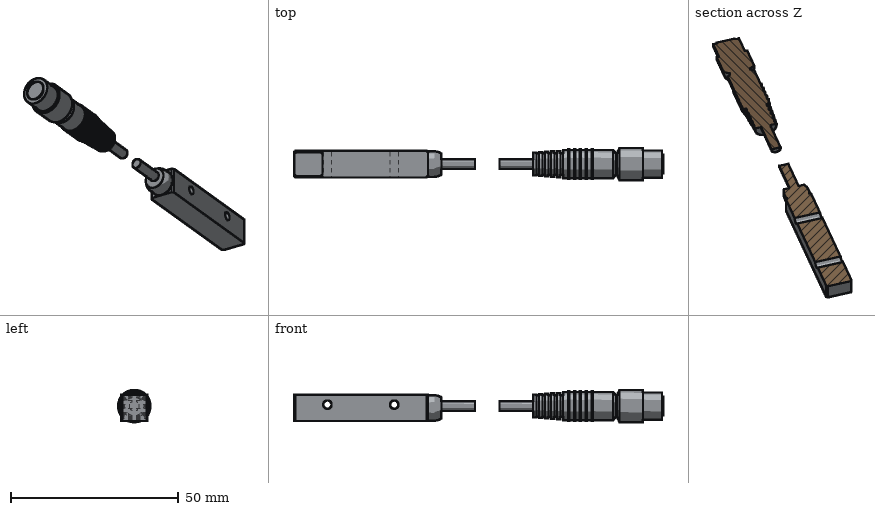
import cadquery as cq


total_length = 110.5

cable_diameter = 3.0
cable_length = 10.1

housing_length = 40.1
housing_width = 8.1
housing_height = 8.0
housing_center_z = -0.5
front_chamfer = 0.4
back_chamfer = 0.5

hole_diameter = 2.4
hole_pitch = 20.0
first_hole_x = 10.0
hole_z = 0.4

window_length = 8.5
window_width = 7.1
window_depth = 0.1
window_corner_radius = 0.8

sleeve_diameter = 7.7
sleeve_end_diameter = 6.3
sleeve_straight_length = 2.0
sleeve_length = 4.0
sleeve_bulge = 0.17

connector_length = 49.1
relief_ring_diameters = [7.0, 7.2, 7.5, 7.7, 8.0]
relief_ring_width = 1.0
relief_groove_width = 0.81
relief_pitch = relief_ring_width + relief_groove_width
relief_core_diameter = 6.5

grip_length = 14.9
grip_diameter = 8.5
grip_ring_diameter = 9.0
grip_ring_count = 5
grip_ring_width = 0.4
grip_ring_pitch = 1.8
first_grip_ring_offset = 1.4

neck_diameter = 6.5
neck_length = 0.3
grip_taper_length = 0.9
nut_taper_length = 0.8
nut_diameter = 9.7
nut_end_x = 104.4
plug_diameter = 8.3
insert_diameter = 5.7
insert_projection = 0.3


def cylinder(start_x, length, diameter, center_z=0):
    """Round bar along X."""
    return (
        cq.Workplane("YZ", origin=(start_x, 0, center_z))
        .circle(diameter / 2)
        .extrude(length)
    )


def make_housing_block():
    block = cq.Workplane("XY").box(housing_length, housing_width, housing_height)
    block = block.translate((housing_length / 2, 0, housing_center_z))
    block = block.edges("|Z and <X").chamfer(front_chamfer)
    return block.edges("|Z and >X").chamfer(back_chamfer)


def make_window():
    """Tool for the shallow rounded recess that reaches the sensing face."""
    top_z = housing_center_z + housing_height / 2
    return (
        cq.Workplane("XY", origin=(window_length / 2, 0, top_z - window_depth))
        .rect(window_length, window_width)
        .extrude(window_depth)
        .edges("|Z")
        .fillet(window_corner_radius)
    )


def make_mounting_holes():
    return (
        cq.Workplane("XZ", origin=(first_hole_x + hole_pitch / 2, 0, hole_z))
        .rarray(hole_pitch, 1.1, 2, 1)
        .circle(hole_diameter / 2)
        .extrude(housing_width, both=True)
    )


def make_sleeve():
    """Round collar whose free end curves inward."""
    straight_end = housing_length + sleeve_straight_length
    end = housing_length + sleeve_length
    outer = sleeve_diameter / 2
    inner = sleeve_end_diameter / 2
    middle = ((straight_end + end) / 2, (outer + inner) / 2 + sleeve_bulge)
    return (
        cq.Workplane("XY")
        .moveTo(housing_length, 0)
        .lineTo(housing_length, outer)
        .lineTo(straight_end, outer)
        .threePointArc(middle, (end, inner))
        .lineTo(end, 0)
        .close()
        .revolve(360, (0, 0, 0), (1, 0, 0))
        .translate((0, 0, housing_center_z))
    )


def make_sensor():
    cable_start = housing_length + sleeve_length
    sensor = make_housing_block().cut(make_window()).cut(make_mounting_holes())
    return sensor.union(make_sleeve()).union(cylinder(cable_start, cable_length, cable_diameter))


def make_relief(start_x):
    """Ribbed strain relief that widens toward the grip."""
    relief_length = relief_pitch * len(relief_ring_diameters)
    relief = cylinder(start_x, relief_length, relief_core_diameter)
    for index, diameter in enumerate(relief_ring_diameters):
        relief = relief.union(cylinder(start_x + index * relief_pitch, relief_ring_width, diameter))
    return relief


def make_grip(start_x):
    grip = cylinder(start_x, grip_length, grip_diameter)
    for index in range(grip_ring_count):
        ring_x = start_x + first_grip_ring_offset + index * grip_ring_pitch
        grip = grip.union(cylinder(ring_x, grip_ring_width, grip_ring_diameter))
    return grip


def make_plug_end(grip_end):
    """Tapered neck, coupling nut, plug barrel and contact insert."""
    neck_start = grip_end + grip_taper_length
    neck_end = neck_start + neck_length
    nut_start = neck_end + nut_taper_length
    plug_end = total_length - insert_projection
    profile = [
        (grip_end, 0),
        (grip_end, grip_diameter / 2),
        (neck_start, neck_diameter / 2),
        (neck_end, neck_diameter / 2),
        (nut_start, nut_diameter / 2),
        (nut_end_x, nut_diameter / 2),
        (nut_end_x, plug_diameter / 2),
        (plug_end, plug_diameter / 2),
        (plug_end, insert_diameter / 2),
        (total_length, insert_diameter / 2),
        (total_length, 0),
    ]
    return cq.Workplane("XY").polyline(profile).close().revolve(360, (0, 0, 0), (1, 0, 0))


def make_connector():
    cable_start = total_length - connector_length
    relief_start = cable_start + cable_length
    grip_start = relief_start + relief_pitch * len(relief_ring_diameters)
    grip_end = grip_start + grip_length
    connector = cylinder(cable_start, cable_length, cable_diameter)
    connector = connector.union(make_relief(relief_start))
    connector = connector.union(make_grip(grip_start))
    return connector.union(make_plug_end(grip_end))


sensor = make_sensor()
connector = make_connector()

result = cq.Compound.makeCompound([sensor.val(), connector.val()])